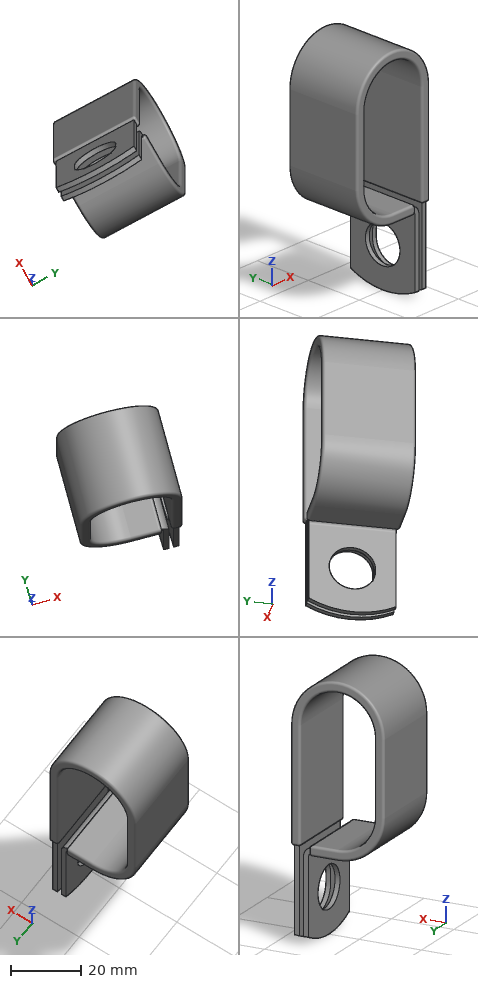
import cadquery as cq
import math

strap_thickness = 1.588
strap_width = 25.4
straight_length = 23.81
tip_depth = 66.65
tail_gap = 1.38
bend_inner_radius = 1.35
tip_sagitta = 3.05
hole_diameter = 13.5
slot_length = 15.8
hole_to_tip = 14.3

loop_inner_radius = 11.905
cushion_cover = 0.76
cushion_width = 26.99
cushion_edge_radius = (cushion_width - strap_width) / 2
cushion_floor_end = 9.05

strap_inner_radius = loop_inner_radius + cushion_cover
strap_outer_radius = strap_inner_radius + strap_thickness
loop_outer_radius = strap_outer_radius + cushion_cover
cushion_leg_end = -straight_length - strap_inner_radius

short_tail_outer = strap_inner_radius - tail_gap
short_tail_inner = short_tail_outer - strap_thickness
bend_outer_radius = bend_inner_radius + strap_thickness
bend_x = short_tail_outer - bend_outer_radius
bend_z = -straight_length - strap_inner_radius - bend_outer_radius

lower_bend_middle = 225
tail_bend_middle = 45
upright = 90


def arc_point(center_x, center_z, radius, degrees):
    angle = math.radians(degrees)
    return (center_x + radius * math.cos(angle), center_z + radius * math.sin(angle))


def start_loop_outside(radius, leg_end):
    """Outline from the foot of the long leg, over the arch and down to the loop floor."""
    return (
        cq.Workplane("XZ")
        .moveTo(radius, leg_end)
        .lineTo(radius, 0)
        .threePointArc((0, radius), (-radius, 0))
        .lineTo(-radius, -straight_length)
        .threePointArc(
            arc_point(0, -straight_length, radius, lower_bend_middle),
            (0, -straight_length - radius),
        )
    )


def close_loop_inside(outline, radius, leg_end):
    """Outline back from the loop floor, under the arch and down the long leg."""
    return (
        outline
        .lineTo(0, -straight_length - radius)
        .threePointArc(
            arc_point(0, -straight_length, radius, lower_bend_middle),
            (-radius, -straight_length),
        )
        .lineTo(-radius, 0)
        .threePointArc((0, radius), (radius, 0))
        .lineTo(radius, leg_end)
        .close()
    )


def make_cushion():
    outline = start_loop_outside(loop_outer_radius, cushion_leg_end)
    outline = outline.lineTo(cushion_floor_end, -straight_length - loop_outer_radius)
    outline = outline.lineTo(cushion_floor_end, -straight_length - loop_inner_radius)
    outline = close_loop_inside(outline, loop_inner_radius, cushion_leg_end)
    cushion = outline.extrude(cushion_width / 2, both=True)

    middle_radius = (loop_inner_radius + loop_outer_radius) / 2
    leg_face = cq.NearestToPointSelector((middle_radius, 0, cushion_leg_end))
    floor_face = cq.NearestToPointSelector((cushion_floor_end, 0, -straight_length - middle_radius))
    side_edges = cushion.faces("<Y or >Y").edges()
    end_edges = cushion.faces(leg_face).edges("|Y").add(cushion.faces(floor_face).edges("|Y"))
    return side_edges.add(end_edges).fillet(cushion_edge_radius)


def make_strap_band():
    outline = (
        start_loop_outside(strap_outer_radius, -tip_depth)
        .lineTo(bend_x, -straight_length - strap_outer_radius)
        .threePointArc(
            arc_point(bend_x, bend_z, bend_inner_radius, tail_bend_middle),
            (short_tail_inner, bend_z),
        )
        .lineTo(short_tail_inner, -tip_depth)
        .lineTo(short_tail_outer, -tip_depth)
        .lineTo(short_tail_outer, bend_z)
        .threePointArc(
            arc_point(bend_x, bend_z, bend_outer_radius, tail_bend_middle),
            (bend_x, -straight_length - strap_inner_radius),
        )
    )
    outline = close_loop_inside(outline, strap_inner_radius, -tip_depth)
    return outline.extrude(strap_width / 2, both=True)


def make_strap_silhouette():
    """Strap seen along X: square top and rounded tip, as one long prism."""
    half_width = strap_width / 2
    corner_z = -tip_depth + tip_sagitta
    return (
        cq.Workplane("YZ")
        .moveTo(-half_width, strap_outer_radius)
        .lineTo(-half_width, corner_z)
        .threePointArc((0, -tip_depth), (half_width, corner_z))
        .lineTo(half_width, strap_outer_radius)
        .close()
        .extrude(loop_outer_radius, both=True)
    )


def make_bolt_opening(length, inner_x):
    """Cutter along +X through one tail from its inner face, stretched along Z if longer than wide."""
    sketch = cq.Workplane("YZ", origin=(inner_x, 0, hole_to_tip - tip_depth))
    if length > hole_diameter:
        sketch = sketch.slot2D(length, hole_diameter, upright)
    else:
        sketch = sketch.circle(hole_diameter / 2)
    return sketch.extrude(strap_thickness)


strap = make_strap_band().intersect(make_strap_silhouette())
strap = strap.cut(make_bolt_opening(hole_diameter, short_tail_inner))
strap = strap.cut(make_bolt_opening(slot_length, strap_inner_radius))
result = make_cushion().union(strap)